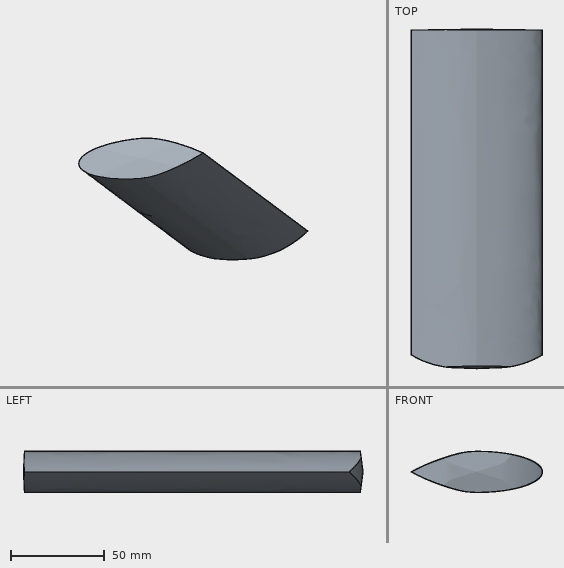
import cadquery as cq

chord = 70.0
length = 181.0
thickness = 22.0
half_chord = chord / 2
half_length = length / 2
half_thickness = thickness / 2

flank_x = -16.3
flank_z = 8.0
edge_slope = 0.55

front_peak = 1.5
back_peak = 0.5

facet_half_width = 11.5
facet_drop = front_peak * facet_half_width / half_chord
shoulder_x = 24.3
shoulder_drop = 2.5
side_drop = 7.5


def make_body():
    """Teardrop section: sharp edge at -X, elliptical nose at +X."""
    upper = (
        cq.Workplane("XZ", origin=(0, half_length, 0))
        .moveTo(-half_chord, 0)
        .spline(
            [(flank_x, flank_z), (0, half_thickness)],
            tangents=[(1, edge_slope), (1, 0)],
            includeCurrent=True,
        )
        .ellipseArc(half_chord, half_thickness, 0, 90, startAtCurrent=True, sense=-1)
        .close()
        .extrude(length)
    )
    return upper.union(upper.mirror("XY"))


def make_plan_envelope():
    """Outline in XY: shallow V at both ends, with arcs towards the front sides."""
    front = -half_length
    side_y = front + side_drop
    shoulder_y = front + shoulder_drop
    facet_y = front + facet_drop
    rim_y = half_length - back_peak
    return (
        cq.Workplane("XY", origin=(0, 0, -half_thickness))
        .moveTo(0, front)
        .lineTo(facet_half_width, facet_y)
        .threePointArc((shoulder_x, shoulder_y), (half_chord, side_y))
        .lineTo(half_chord, rim_y)
        .lineTo(0, half_length)
        .lineTo(-half_chord, rim_y)
        .lineTo(-half_chord, side_y)
        .threePointArc((-shoulder_x, shoulder_y), (-facet_half_width, facet_y))
        .close()
        .extrude(thickness)
    )


def make_side_envelope():
    """Outline in YZ: the upper and lower facets of both end pyramids."""
    front_rim = front_peak - half_length
    back_rim = half_length - back_peak
    return (
        cq.Workplane("YZ", origin=(-half_chord, 0, 0))
        .moveTo(-half_length, 0)
        .lineTo(front_rim, half_thickness)
        .lineTo(back_rim, half_thickness)
        .lineTo(half_length, 0)
        .lineTo(back_rim, -half_thickness)
        .lineTo(front_rim, -half_thickness)
        .close()
        .extrude(chord)
    )


result = make_body().intersect(make_plan_envelope()).intersect(make_side_envelope())